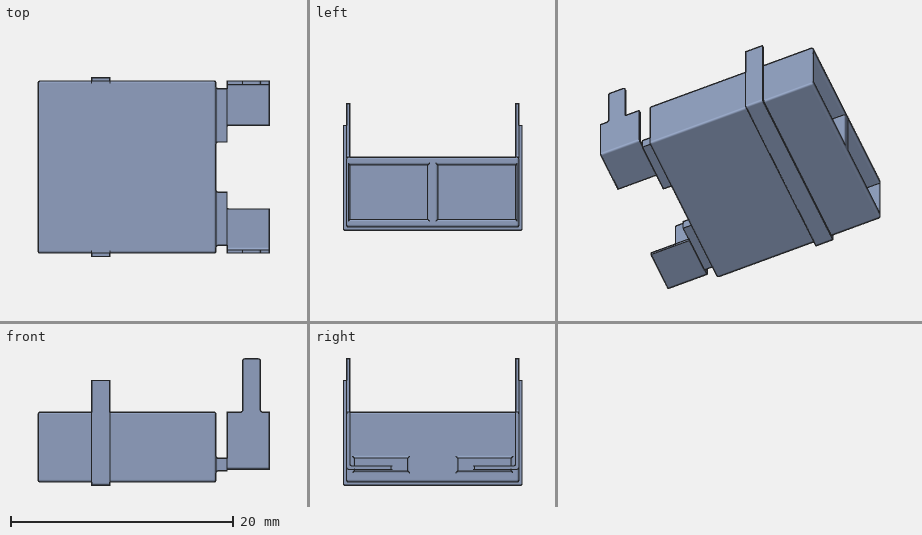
import cadquery as cq

body_length = 16.0
body_width = 15.5
body_height = 6.3
edge_radius = 0.2

side_wall = 0.3
divider = 0.9
floor_thickness = 0.7
roof_thickness = 0.72
back_wall = 0.8
pocket_length = body_length - back_wall
pocket_width = (body_width - 2 * side_wall - divider) / 2
pocket_height = body_height - floor_thickness - roof_thickness
pocket_y = (divider + pocket_width) / 2

strap_thickness = 0.3
strap_width = 1.65
strap_offset = 4.8
strap_top = 9.15
strap_bend_radius = 0.2

stub_length = 1.0
stub_width = 4.8
stub_height = 1.15
stub_bottom = 1.0
stub_outer_y = 7.05
stub_root_radius = 0.2

sheet_thickness = 0.3
terminal_length = 3.8
terminal_width = 4.0
terminal_bottom = 1.15
terminal_bend_radius = 0.2
foot_root_radius = 0.1
tab_width = 1.6
tab_offset = 1.4
tab_top = 11.1
tab_radius = 0.2

front_x = -body_length / 2
back_x = body_length / 2
terminal_x = back_x + stub_length
side_y = body_width / 2


def corner_box(x, y, z, length, width, height):
    """Box whose lowest-coordinate corner is at (x, y, z)."""
    return cq.Workplane("XY").box(length, width, height, centered=False).translate((x, y, z))


def make_pocket_tool(center_y):
    """Pocket volume, flaring outward at the mouth by a rounded rim."""
    rim_width = pocket_width + 2 * edge_radius
    rim_height = pocket_height + 2 * edge_radius
    pocket_mid_z = floor_thickness + pocket_height / 2
    pocket = corner_box(
        front_x, center_y - pocket_width / 2, floor_thickness, pocket_length, pocket_width, pocket_height
    )
    mouth = corner_box(
        front_x,
        center_y - rim_width / 2,
        floor_thickness - edge_radius,
        edge_radius,
        rim_width,
        rim_height,
    )
    for side in (-1, 1):
        horizontal_rim = (
            cq.Workplane("XZ")
            .center(front_x + edge_radius, pocket_mid_z + side * rim_height / 2)
            .circle(edge_radius)
            .extrude(rim_width / 2, both=True)
            .translate((0, center_y, 0))
        )
        upright_rim = (
            cq.Workplane("XY")
            .center(front_x + edge_radius, center_y + side * rim_width / 2)
            .circle(edge_radius)
            .extrude(body_height)
        )
        mouth = mouth.cut(horizontal_rim).cut(upright_rim)
    return pocket.union(mouth)


def make_housing():
    housing = (
        cq.Workplane("XY")
        .box(body_length, body_width, body_height, centered=(True, True, False))
        .edges()
        .fillet(edge_radius)
    )
    for side in (-1, 1):
        housing = housing.cut(make_pocket_tool(side * pocket_y))
    return housing


def make_strap():
    """Strap following the rounded lower edges and filling the rounded upper ones."""
    strap_x = front_x + strap_offset
    outer_y = side_y + strap_thickness
    outer = corner_box(
        strap_x, -outer_y, -strap_thickness, strap_width, 2 * outer_y, strap_top + strap_thickness
    )
    outer = outer.edges("|X and <Z").fillet(strap_bend_radius)
    inner = corner_box(strap_x, -side_y, 0, strap_width, body_width, strap_top)
    inner = inner.edges("|X and <Z").fillet(edge_radius)
    strap = outer.cut(inner)
    for y in (-side_y, side_y - edge_radius):
        top_edge_fill = corner_box(
            strap_x, y, body_height - edge_radius, strap_width, edge_radius, edge_radius
        )
        strap = strap.union(top_edge_fill)
    return strap


def make_stub():
    """Stub on the -Y side, with a rounded root against the housing."""
    root_wall_thickness = back_wall / 2
    stub = corner_box(back_x, -stub_outer_y, stub_bottom, stub_length, stub_width, stub_height)
    root_wall = corner_box(
        back_x - root_wall_thickness,
        -side_y + edge_radius,
        edge_radius,
        root_wall_thickness,
        side_y - edge_radius,
        body_height - 2 * edge_radius,
    )
    root = cq.selectors.BoxSelector(
        (back_x - edge_radius / 2, -side_y + 2 * edge_radius, 2 * edge_radius),
        (back_x + edge_radius / 2, -2 * edge_radius, body_height - 2 * edge_radius),
    )
    return root_wall.union(stub).edges(root).fillet(stub_root_radius)


def make_terminal():
    """Terminal on the -Y side, its upright flush with the housing side."""
    tab_x = terminal_x + tab_offset
    upright_height = body_height - terminal_bottom
    foot = corner_box(
        terminal_x, -side_y, terminal_bottom, terminal_length, terminal_width, sheet_thickness
    )
    upright = corner_box(
        terminal_x, -side_y, terminal_bottom, terminal_length, sheet_thickness, upright_height
    )
    tab = corner_box(
        tab_x,
        -side_y,
        body_height - sheet_thickness,
        tab_width,
        sheet_thickness,
        tab_top - body_height + sheet_thickness,
    )
    tab = tab.edges("|Y and >Z").fillet(tab_radius)
    tab_roots = cq.selectors.BoxSelector(
        (tab_x - tab_radius, -side_y - tab_radius, body_height - tab_radius),
        (tab_x + tab_width + tab_radius, -side_y + 2 * tab_radius, body_height + tab_radius),
    )
    upright = upright.union(tab).edges("|Y").edges(tab_roots).fillet(tab_radius)
    inner_bend = cq.selectors.NearestToPointSelector(
        (
            terminal_x + terminal_length / 2,
            -side_y + sheet_thickness,
            terminal_bottom + sheet_thickness,
        )
    )
    outer_bend = cq.selectors.NearestToPointSelector(
        (terminal_x + terminal_length / 2, -side_y, terminal_bottom)
    )
    terminal = upright.union(foot)
    terminal = terminal.edges("|X").edges(inner_bend).fillet(terminal_bend_radius)
    return terminal.edges("|X").edges(outer_bend).fillet(terminal_bend_radius)


def make_foot_root():
    """Rounded inside corner between the stub end and the inner edge of the foot."""
    foot_edge_y = -side_y + terminal_width
    corner = corner_box(
        terminal_x, foot_edge_y, terminal_bottom, foot_root_radius, foot_root_radius, sheet_thickness
    )
    hollow = (
        cq.Workplane("XY")
        .center(terminal_x + foot_root_radius, foot_edge_y + foot_root_radius)
        .circle(foot_root_radius)
        .extrude(body_height)
    )
    return corner.cut(hollow)


lead = make_stub().union(make_terminal()).union(make_foot_root())
result = make_housing().union(make_strap()).union(lead).union(lead.mirror("XZ"))